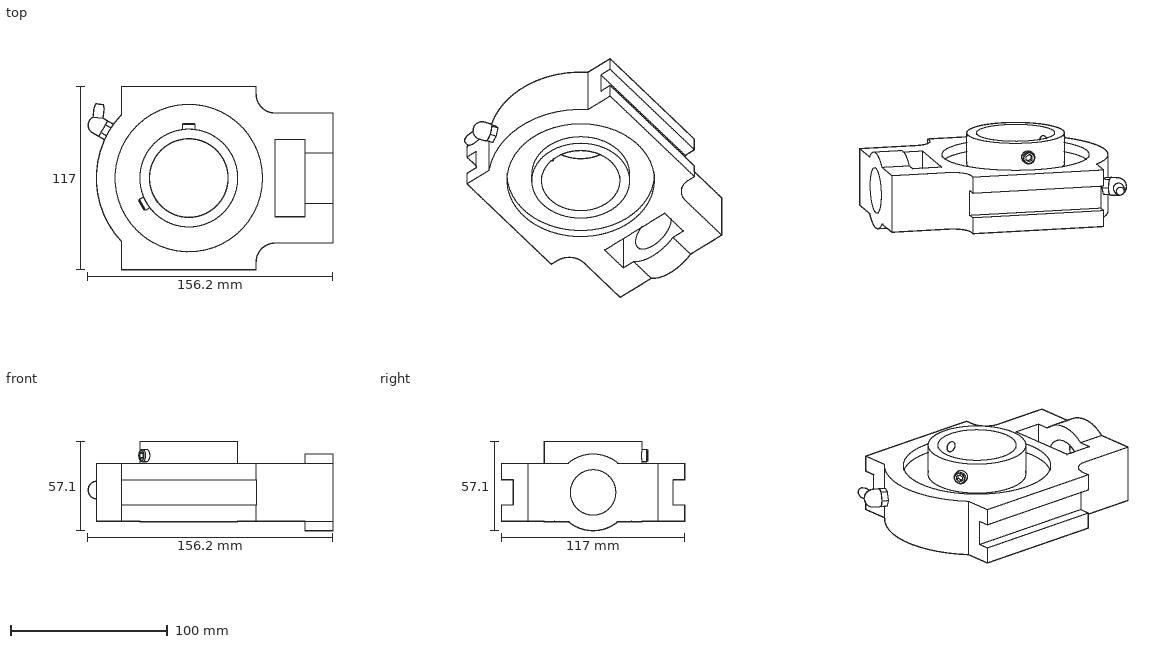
import cadquery as cq
import math


HOUSING_THICKNESS = 37.0
HOUSING_TOP = HOUSING_THICKNESS / 2
HUB_RADIUS = 59.0
RAIL_LENGTH = 86.0
RAIL_WIDTH = 117.0
GROOVE_WIDTH = 16.0
GROOVE_BOTTOM_SPACING = 102.0
NECK_WIDTH = 83.0
NECK_END_X = 92.0
NECK_FILLET = 12.0

SLOT_LENGTH = 19.0
SLOT_WIDTH = 49.0
BOSS_DIAMETER = 49.0
BOSS_LENGTH = 18.0
SCREW_HOLE_DIAMETER = 29.0
SLOT_END_X = NECK_END_X - BOSS_LENGTH

SEAT_DIAMETER = 94.0
OUTER_RING_WIDTH = 25.0
COLLAR_DIAMETER = 62.4
COLLAR_BOTTOM = -19.0
COLLAR_TOP = 32.6
COLLAR_HEIGHT = COLLAR_TOP - COLLAR_BOTTOM
BORE_DIAMETER = 50.0

SET_SCREW_DIAMETER = 8.0
SET_SCREW_POINT_DIAMETER = 6.77
SET_SCREW_TAPER_LENGTH = 0.8
SET_SCREW_ANGLES = (90.0, 210.0)
SET_SCREW_Z = 23.5
SET_SCREW_RECESS = 0.05
SET_SCREW_INNER_RADIUS = BORE_DIAMETER / 2 + SET_SCREW_RECESS
SET_SCREW_OUTER_RADIUS = 34.9
SOCKET_ACROSS_FLATS = 4.0
SOCKET_ACROSS_CORNERS = SOCKET_ACROSS_FLATS / math.cos(math.pi / 6)
SOCKET_TURN = 30.0
SOCKET_DEPTH = 3.0

NIPPLE_ANGLE = 150.0
NIPPLE_Z = 1.5
NIPPLE_DIAMETER = 11.5
NIPPLE_ROOT_RADIUS = HUB_RADIUS - 2.0
HEX_END_RADIUS = HUB_RADIUS + 4.0
BALL_CENTRE_RADIUS = HUB_RADIUS + 8.5
NOZZLE_ANGLE = 83.0
NOZZLE_DIAMETER = 6.6
NOZZLE_TIP_DIAMETER = 5.0
NOZZLE_LENGTH = 13.5
NOZZLE_TIP_LENGTH = 2.7


def direction_plane(angle, distance, z, start=(0.0, 0.0)):
    """Plane facing horizontally at an angle about Z, at a distance from the start point."""
    dx = math.cos(math.radians(angle))
    dy = math.sin(math.radians(angle))
    origin = (start[0] + distance * dx, start[1] + distance * dy, z)
    return cq.Plane(origin=origin, xDir=(-dy, dx, 0), normal=(dx, dy, 0))


def tapered_pin(plane, diameter, end_diameter, length, taper_length, both_ends=False):
    """Round pin along the plane normal, with a conical far end and, if wanted, the same near end."""
    radius = diameter / 2
    end_radius = end_diameter / 2
    profile = cq.Workplane("XZ").moveTo(0, 0)
    if both_ends:
        profile = profile.lineTo(end_radius, 0).lineTo(radius, taper_length)
    else:
        profile = profile.lineTo(radius, 0)
    profile = profile.lineTo(radius, length - taper_length).lineTo(end_radius, length).lineTo(0, length)
    pin = profile.close().revolve(360, (0, 0, 0), (0, 1, 0))
    return cq.Workplane(pin.val().moved(plane.location))


def slab(x_start, x_end, width):
    """Block of full housing thickness, centred on Y and Z."""
    length = x_end - x_start
    return cq.Workplane("XY").box(length, width, HOUSING_THICKNESS).translate((x_start + length / 2, 0, 0))


def housing_plate():
    hub = cq.Workplane("XY").circle(HUB_RADIUS).extrude(HOUSING_TOP, both=True)
    hub = hub.intersect(slab(-HUB_RADIUS, 0, RAIL_WIDTH))
    rails = slab(-RAIL_LENGTH / 2, RAIL_LENGTH / 2, RAIL_WIDTH)
    neck = slab(0, NECK_END_X, NECK_WIDTH)
    plate = rails.union(hub).union(neck)
    for side in (-1, 1):
        plate = plate.union(neck_blend(side)).cut(rail_groove(side))
    return plate


def neck_blend(side):
    corner_x = RAIL_LENGTH / 2
    corner_y = side * NECK_WIDTH / 2
    centre = (corner_x + NECK_FILLET, corner_y + side * NECK_FILLET)
    block = (
        cq.Workplane("XY")
        .center(corner_x + NECK_FILLET / 2, corner_y + side * NECK_FILLET / 2)
        .rect(NECK_FILLET, NECK_FILLET)
        .extrude(HOUSING_TOP, both=True)
    )
    round_cut = cq.Workplane("XY").center(*centre).circle(NECK_FILLET).extrude(HOUSING_TOP, both=True)
    return block.cut(round_cut)


def rail_groove(side):
    """Groove along a rail, long enough to run out through the neck blend."""
    length = RAIL_LENGTH + 2 * NECK_FILLET
    depth = (RAIL_WIDTH - GROOVE_BOTTOM_SPACING) / 2
    groove = cq.Workplane("XY").box(length, depth, GROOVE_WIDTH)
    return groove.translate((0, side * (RAIL_WIDTH - depth) / 2, 0))


def take_up_cylinder(diameter):
    """Cylinder along X through the end wall beyond the slot."""
    return cq.Workplane("YZ").workplane(offset=SLOT_END_X).circle(diameter / 2).extrude(BOSS_LENGTH)


def grease_nipple():
    hexagon = (
        cq.Workplane(direction_plane(NIPPLE_ANGLE, NIPPLE_ROOT_RADIUS, NIPPLE_Z))
        .polygon(6, NIPPLE_DIAMETER)
        .extrude(HEX_END_RADIUS - NIPPLE_ROOT_RADIUS)
    )
    stem = (
        cq.Workplane(direction_plane(NIPPLE_ANGLE, HEX_END_RADIUS, NIPPLE_Z))
        .circle(NIPPLE_DIAMETER / 2)
        .extrude(BALL_CENTRE_RADIUS - HEX_END_RADIUS)
    )
    ball_plane = direction_plane(NIPPLE_ANGLE, BALL_CENTRE_RADIUS, NIPPLE_Z)
    ball_centre = ball_plane.origin.toTuple()
    ball = cq.Workplane(ball_plane).sphere(NIPPLE_DIAMETER / 2)
    nozzle_plane = direction_plane(NOZZLE_ANGLE, 0, NIPPLE_Z, ball_centre)
    nozzle = tapered_pin(nozzle_plane, NOZZLE_DIAMETER, NOZZLE_TIP_DIAMETER, NOZZLE_LENGTH, NOZZLE_TIP_LENGTH)
    return hexagon.union(stem).union(ball).union(nozzle)


def make_housing():
    slot = slab(SLOT_END_X - SLOT_LENGTH, SLOT_END_X, SLOT_WIDTH)
    seat = cq.Workplane("XY").circle(SEAT_DIAMETER / 2).extrude(HOUSING_TOP, both=True)
    boss = take_up_cylinder(BOSS_DIAMETER)
    screw_hole = take_up_cylinder(SCREW_HOLE_DIAMETER)
    body = housing_plate().cut(slot).union(boss).cut(screw_hole).cut(seat)
    return body.union(grease_nipple())


def set_screw_hole(angle):
    """Hole from the bore to the inner end of a set screw."""
    plane = direction_plane(angle, 0, SET_SCREW_Z)
    return cq.Workplane(plane).circle(SET_SCREW_POINT_DIAMETER / 2).extrude(SET_SCREW_INNER_RADIUS)


def set_screw(angle):
    plane = direction_plane(angle, SET_SCREW_INNER_RADIUS, SET_SCREW_Z)
    length = SET_SCREW_OUTER_RADIUS - SET_SCREW_INNER_RADIUS
    screw = tapered_pin(
        plane, SET_SCREW_DIAMETER, SET_SCREW_POINT_DIAMETER, length, SET_SCREW_TAPER_LENGTH, both_ends=True
    )
    socket_plane = direction_plane(angle, SET_SCREW_OUTER_RADIUS, SET_SCREW_Z)
    socket = (
        cq.Workplane(socket_plane.rotated((0, 0, SOCKET_TURN)))
        .polygon(6, SOCKET_ACROSS_CORNERS)
        .extrude(-SOCKET_DEPTH)
    )
    return screw.cut(socket)


def make_bearing():
    ring = cq.Workplane("XY").circle(SEAT_DIAMETER / 2).extrude(OUTER_RING_WIDTH / 2, both=True)
    base = cq.Workplane("XY").workplane(offset=COLLAR_BOTTOM)
    collar = base.circle(COLLAR_DIAMETER / 2).extrude(COLLAR_HEIGHT)
    bore = base.circle(BORE_DIAMETER / 2).extrude(COLLAR_HEIGHT)
    bearing = ring.union(collar).cut(bore)
    for angle in SET_SCREW_ANGLES:
        bearing = bearing.cut(set_screw_hole(angle)).union(set_screw(angle))
    return bearing


housing = make_housing()
bearing = make_bearing()
result = cq.Compound.makeCompound([housing.val(), bearing.val()])